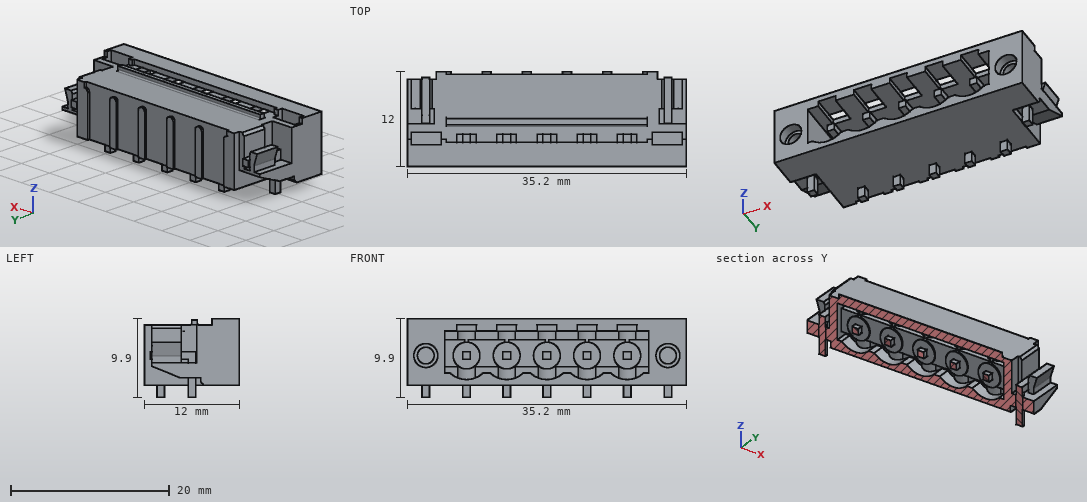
import cadquery as cq
import math

length = 35.2
depth = 12.0
flange_top = 8.4
deck_top = 7.65

pole_count = 5
pitch = 5.07
pin_side = 1.0
pin_axis_z = 3.75
pin_bottom = -1.5
row_half = pole_count * pitch / 2
pole_positions = [(i - (pole_count - 1) / 2) * pitch for i in range(pole_count)]

flange_depth_end = 3.5
flange_depth_middle = 3.05

pin_tip_y = 1.05
pin_back_y = 10.42

cavity_half = 12.9
cavity_top = 6.9
cavity_bottom = 1.5
cavity_depth = 7.75
cavity_draft = 0.07
scallop_radius = 3.03
key_width = 2.45
key_back_y = 4.12

post_radius = 1.48
post_half_width = 1.1
band_bottom = 2.35
band_top = 5.75
band_depth = 0.88
boss_radius = 1.7
boss_depth = 1.05
notch_width = 0.45

screw_x = 15.28
screw_radius = 1.5
screw_core_radius = 1.05
screw_depth = 1.4
screw_core_depth = 3.52

pocket_x_inner = 13.3
pocket_x_outer = 17.1
pocket_y_front = 2.75
pocket_y_back = 4.35
pocket_floor = 5.63

rib_front_y = 5.3
rib_back_y = 6.02
rib_top = 8.27
rib_fillet = 0.2

anchor_x = 15.28
anchor_front_y = 5.5
anchor_back_y = 11.25
anchor_inner = anchor_x - pin_side / 2
anchor_outer = anchor_x + pin_side / 2
lead_in_height = 0.42
wall_lead_in = 0.3
rail_lead_in = 0.2

bay_front_y = 5.4
bay_step_y = 7.32
bay_back_y = 11.05
bay_half_front = 14.2
body_half_back = 13.97
shelf_top = 2.85
shelf_tip_z = 2.43
shelf_bottom = 0.95
shelf_slope_y = 7.45
shelf_foot_y = 4.9
foot_chamfer = 0.45

rail_top = 5.42
rail_bend_z = 3.73
rail_outer_top = 17.1
rail_outer_bottom = 16.58

recess_depth = 0.3
ridge_width = 1.15
ridge_top = 6.9


def box(x0, x1, y0, y1, z0, z1):
    """Box between opposite corner coordinates."""
    return cq.Workplane("XY").box(x1 - x0, y1 - y0, z1 - z0, centered=False).translate((x0, y0, z0))


def cylinder_y(x, z, radius, y0, y1):
    """Cylinder along Y."""
    return cq.Workplane("XZ", origin=(x, y0, z)).circle(radius).extrude(y0 - y1)


def mirrored(half):
    """A feature on the -X side together with its mirror image on the +X side."""
    return half.union(half.mirror("YZ"))


def bent_pin(x, y_tip, y_back, leg_at_back):
    """Square pin with a horizontal bar and a leg that goes down from one of its ends."""
    half = pin_side / 2
    leg_y = y_back - pin_side if leg_at_back else y_tip
    bar = box(x - half, x + half, y_tip, y_back, pin_axis_z - half, pin_axis_z + half)
    leg = box(x - half, x + half, leg_y, leg_y + pin_side, pin_bottom, pin_axis_z)
    return bar.union(leg)


def housing_block():
    """Stepped block: tall mating flange in front, lower deck behind it."""
    block = box(-length / 2, length / 2, 0, depth, 0, deck_top)
    flange = box(-length / 2, length / 2, 0, flange_depth_end, deck_top, flange_top)
    relief = box(-row_half, row_half, flange_depth_middle, flange_depth_end, deck_top, flange_top)
    return block.union(flange.cut(relief))


def side_bay():
    """Space removed at the -X end: above the shelf, behind it and below it."""
    outer = -length / 2
    front_bay = box(outer, -bay_half_front, bay_front_y, bay_step_y, shelf_top, deck_top)
    rear_bay = (
        cq.Workplane("XZ", origin=(0, bay_step_y, 0))
        .polyline([
            (outer, shelf_top),
            (-anchor_inner, shelf_top),
            (-anchor_inner, deck_top - lead_in_height),
            (-anchor_inner + wall_lead_in, deck_top),
            (outer, deck_top),
        ])
        .close()
        .extrude(bay_step_y - bay_back_y)
    )
    back = box(outer, -body_half_back, bay_back_y, depth, 0, deck_top)
    undercut = (
        cq.Workplane("YZ", origin=(outer, 0, 0))
        .polyline([
            (shelf_foot_y - foot_chamfer, 0),
            (shelf_foot_y, foot_chamfer),
            (shelf_foot_y, shelf_bottom),
            (shelf_slope_y, shelf_bottom),
            (bay_back_y, shelf_tip_z),
            (bay_back_y, 0),
        ])
        .close()
        .extrude(length / 2 - body_half_back)
    )
    return front_bay.union(rear_bay).union(back).union(undercut)


def latch_rail():
    """Hook-shaped rail that stands on the -X shelf."""
    return (
        cq.Workplane("XZ", origin=(0, bay_step_y, 0))
        .polyline([
            (-anchor_outer, shelf_top),
            (-anchor_outer, rail_top - lead_in_height),
            (-anchor_outer - rail_lead_in, rail_top),
            (-rail_outer_top, rail_top),
            (-rail_outer_bottom, rail_bend_z),
            (-rail_outer_bottom, shelf_top),
        ])
        .close()
        .extrude(bay_step_y - bay_back_y)
    )


def deck_rib():
    """Long rib on the deck with filleted feet along both sides."""
    foot_z = deck_top + rib_fillet
    inset = rib_fillet * (1 - math.sqrt(0.5))
    return (
        cq.Workplane("YZ", origin=(-row_half, 0, 0))
        .moveTo(rib_front_y - rib_fillet, deck_top)
        .threePointArc((rib_front_y - inset, deck_top + inset), (rib_front_y, foot_z))
        .lineTo(rib_front_y, rib_top)
        .lineTo(rib_back_y, rib_top)
        .lineTo(rib_back_y, foot_z)
        .threePointArc((rib_back_y + inset, deck_top + inset), (rib_back_y + rib_fillet, deck_top))
        .close()
        .extrude(2 * row_half)
    )


def mating_cavity():
    """Open cavity, tapered in height, with one scalloped channel and one key slot per pole."""
    cavity = (
        cq.Workplane("YZ", origin=(-cavity_half, 0, 0))
        .polyline([
            (0, cavity_bottom),
            (cavity_depth, cavity_bottom + cavity_draft),
            (cavity_depth, cavity_top - cavity_draft),
            (0, cavity_top),
        ])
        .close()
        .extrude(2 * cavity_half)
    )
    for x in pole_positions:
        channel = cylinder_y(x, pin_axis_z, scallop_radius, 0, cavity_depth)
        channel_floor = box(-cavity_half, cavity_half, 0, cavity_depth, 0, pin_axis_z)
        key = box(x - key_width / 2, x + key_width / 2, 0, key_back_y, pin_axis_z, deck_top)
        cavity = cavity.union(channel.intersect(channel_floor)).union(key)
    return cavity


def contact_supports(cavity):
    """Cross band at the end of the cavity with a post and a round boss behind each pin."""
    band_y = cavity_depth - band_depth
    post_axis_y = cavity_depth + math.sqrt(post_radius**2 - post_half_width**2)
    supports = box(-cavity_half, cavity_half, band_y, cavity_depth, band_bottom, band_top)
    for x in pole_positions:
        notch = box(x - notch_width / 2, x + notch_width / 2, band_y, cavity_depth, pin_axis_z, band_top)
        post = cq.Workplane("XY", origin=(x, post_axis_y, 0)).circle(post_radius).extrude(cavity_top)
        boss = cylinder_y(x, pin_axis_z, boss_radius, cavity_depth - boss_depth, cavity_depth)
        supports = supports.cut(notch).union(post).union(boss)
    return supports.intersect(cavity)


def ear_openings():
    """Stepped screw hole and top pocket in the -X flange ear."""
    screw_hole = cylinder_y(-screw_x, pin_axis_z, screw_radius, 0, screw_depth)
    screw_core = cylinder_y(-screw_x, pin_axis_z, screw_core_radius, 0, screw_core_depth)
    pocket = box(
        -pocket_x_outer, -pocket_x_inner, pocket_y_front, pocket_y_back, pocket_floor, flange_top
    )
    return screw_hole.union(screw_core).union(pocket)


def back_recess():
    """Shallow recess in the back face around round-topped ridges between the poles."""
    recess_y = depth - recess_depth
    recess = box(-row_half, row_half, recess_y, depth, 0, deck_top)
    ridge_radius = ridge_width / 2
    crown_z = ridge_top - ridge_radius
    for i in range(pole_count + 1):
        x = i * pitch - row_half
        ridge = box(x - ridge_radius, x + ridge_radius, recess_y, depth, 0, crown_z)
        crown = cylinder_y(x, crown_z, ridge_radius, recess_y, depth)
        recess = recess.cut(ridge).cut(crown)
    return recess


def make_housing():
    """Housing before the openings are cut for the pins and anchors."""
    body = housing_block().cut(mirrored(side_bay()))
    body = body.union(mirrored(latch_rail())).union(deck_rib())
    cavity = mating_cavity()
    body = body.cut(cavity).union(contact_supports(cavity))
    return body.cut(mirrored(ear_openings())).cut(back_recess())


pins = [bent_pin(x, pin_tip_y, pin_back_y, True) for x in pole_positions]
anchors = [bent_pin(x, anchor_front_y, anchor_back_y, False) for x in (-anchor_x, anchor_x)]

housing = make_housing()
for insert in pins + anchors:
    housing = housing.cut(insert)

result = cq.Compound.makeCompound([
    housing.val(),
    *[pin.val() for pin in pins],
    *[anchor.val() for anchor in anchors],
])